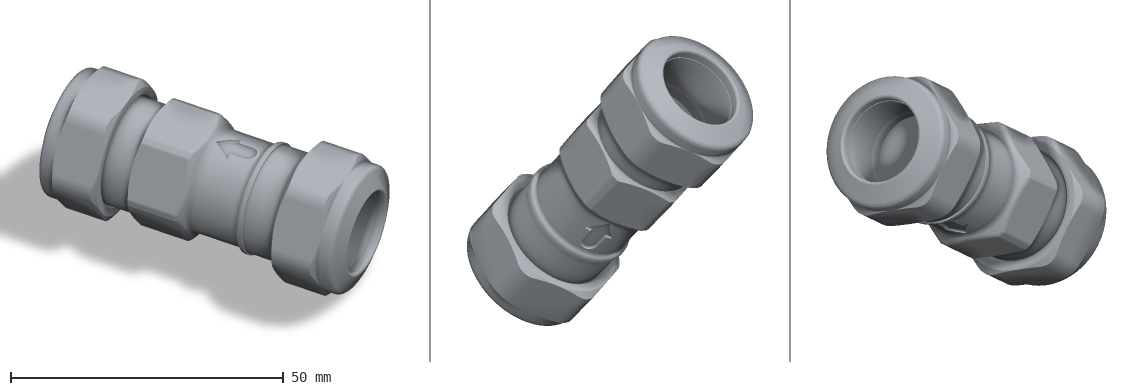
import cadquery as cq
import math

LENGTH = 62.4
MIDDLE = LENGTH / 2
SLAB_MARGIN = 0.05

NUT_FLATS = 25.0
NUT_CORNER_ROUND = 4.0
NUT_LENGTH = 13.4
COLLAR_LENGTH = 4.05
COLLAR_RADIUS = NUT_FLATS / 2
COLLAR_ROUND = 1.0
NOSE_RADIUS = 8.5
NOSE_ANGLE = 20.0
NUT_CHAMFER_ANGLE = 30.0
LIP_RADIUS = 7.9
LIP_ROUND = 0.5
LIP_LENGTH = 1.95
MOUTH_RADIUS = 11.0
MOUTH_DEPTH = 0.5

TAIL_RADIUS = 10.5
NECK_RADIUS = 10.05
RIB_RADIUS = 10.85
RIB_START = 40.1
RIB_TOP = 41.6
RIB_END = 42.2
HEX_FLATS = 22.1
HEX_CORNER_RADIUS = 12.35
HEX_CORNER_ROUND = 1.0
HEX_START = 18.7
HEX_END = 30.8
HEX_FRONT_ANGLE = 27.0
HEX_FRONT_RADIUS = 10.75
HEX_BACK_ROUND = 1.0
HEX_BACK_ANGLE = 33.0
SOCKET_RADIUS = 7.8
SOCKET_DEPTH = 8.05
STOP_RADIUS = 7.7
STOP_CONE = 0.55
STOP_LENGTH = 1.9

ARROW_TIP = 31.45
HEAD_END = 35.25
HEAD_HALF_WIDTH = 2.95
SHAFT_HALF_WIDTH = 1.6
ARROW_END = 39.75
ARROW_DEPTH = 0.5
ARROW_FLOOR_ROUND = 0.4


def revolve(points):
    """Solid of revolution about the X axis from (x, radius) points."""
    return cq.Workplane("XY").polyline(points).close().revolve(360, (0, 0, 0), (1, 0, 0))


def hexagon(flats, start, end):
    """Hexagonal bar along X with a flat on top and bottom."""
    corner_diameter = flats / math.cos(math.pi / 6)
    return cq.Workplane("YZ").workplane(offset=start).polygon(6, corner_diameter).extrude(end - start)


def rise(radial_height, angle):
    """Axial length over which a cone, sloped from the end plane, gains a radius."""
    return radial_height * math.tan(math.radians(angle))


def slab(start, end):
    """Selector for the edges centred between two positions along X."""
    return cq.selectors.BoxSelector(
        (start - SLAB_MARGIN, -LENGTH, -LENGTH), (end + SLAB_MARGIN, LENGTH, LENGTH))


def mirrored(shape):
    """Copy of a shape at the fitting's other end."""
    return shape.mirror("YZ", (MIDDLE, 0, 0))


def make_nut():
    """Left-hand nut, with its nose on the YZ plane."""
    corner_reach = NUT_FLATS / 2 / math.cos(math.pi / 6)
    chamfer = rise(corner_reach - COLLAR_RADIUS, NUT_CHAMFER_ANGLE)
    bar = hexagon(NUT_FLATS, COLLAR_LENGTH, NUT_LENGTH).edges("|X").fillet(NUT_CORNER_ROUND)
    envelope = revolve([
        (COLLAR_LENGTH, 0),
        (COLLAR_LENGTH, COLLAR_RADIUS),
        (COLLAR_LENGTH + chamfer, corner_reach),
        (NUT_LENGTH - chamfer, corner_reach),
        (NUT_LENGTH, COLLAR_RADIUS),
        (NUT_LENGTH, 0),
    ])
    nose_length = rise(COLLAR_RADIUS - NOSE_RADIUS, NOSE_ANGLE)
    collar = revolve([
        (0, 0),
        (0, NOSE_RADIUS),
        (nose_length, COLLAR_RADIUS),
        (COLLAR_LENGTH, COLLAR_RADIUS),
        (COLLAR_LENGTH, 0),
    ])
    collar = collar.edges("%CIRCLE").edges(slab(nose_length, nose_length)).fillet(COLLAR_ROUND)
    lip = cq.Workplane("YZ").circle(LIP_RADIUS).extrude(NUT_LENGTH)
    tail_pocket = revolve([
        (LIP_LENGTH, 0),
        (LIP_LENGTH, TAIL_RADIUS),
        (NUT_LENGTH - MOUTH_DEPTH, TAIL_RADIUS),
        (NUT_LENGTH, MOUTH_RADIUS),
        (NUT_LENGTH, 0),
    ])
    solid = bar.intersect(envelope).union(collar).cut(lip)
    lip_rim = cq.selectors.RadiusNthSelector(0)
    solid = solid.faces("<X").edges("%CIRCLE").edges(lip_rim).fillet(LIP_ROUND)
    return solid.cut(tail_pocket)


def make_hex_grip():
    """Hexagonal grip of the body with cut corners and a cone at each end."""
    apothem = HEX_FLATS / 2
    corner_height = apothem / math.cos(math.pi / 6) - HEX_CORNER_RADIUS
    corner_cut = corner_height / math.cos(math.pi / 3)
    bar = hexagon(HEX_FLATS, HEX_START, HEX_END).edges("|X").chamfer(corner_cut)
    bar = bar.edges("|X").fillet(HEX_CORNER_ROUND)
    front = rise(HEX_CORNER_RADIUS - HEX_FRONT_RADIUS, HEX_FRONT_ANGLE)
    back = rise(HEX_CORNER_RADIUS - NECK_RADIUS, HEX_BACK_ANGLE)
    envelope = revolve([
        (HEX_START, 0),
        (HEX_START, HEX_FRONT_RADIUS),
        (HEX_START + front, HEX_CORNER_RADIUS),
        (HEX_END - back, HEX_CORNER_RADIUS),
        (HEX_END, NECK_RADIUS),
        (HEX_END, 0),
    ])
    grip = bar.intersect(envelope)
    back_rim = slab(HEX_END - back, HEX_END - 2 * SLAB_MARGIN)
    return grip.edges("not |X").edges(back_rim).fillet(HEX_BACK_ROUND)


def make_arrow_recess():
    """Cutter for the flow arrows on the top and bottom of the neck."""
    outline = (
        cq.Workplane("XY")
        .moveTo(ARROW_TIP, 0)
        .lineTo(HEAD_END, HEAD_HALF_WIDTH)
        .lineTo(HEAD_END, SHAFT_HALF_WIDTH)
        .lineTo(ARROW_END - SHAFT_HALF_WIDTH, SHAFT_HALF_WIDTH)
        .threePointArc((ARROW_END, 0), (ARROW_END - SHAFT_HALF_WIDTH, -SHAFT_HALF_WIDTH))
        .lineTo(HEAD_END, -SHAFT_HALF_WIDTH)
        .lineTo(HEAD_END, -HEAD_HALF_WIDTH)
        .close()
        .extrude(RIB_RADIUS, both=True)
    )
    core = cq.Workplane("YZ").circle(NECK_RADIUS - ARROW_DEPTH).extrude(LENGTH)
    floor_rim = cq.selectors.BoxSelector(
        (0, -LENGTH, -NECK_RADIUS), (LENGTH, LENGTH, NECK_RADIUS))
    return outline.cut(core).edges("not |Z").edges(floor_rim).fillet(ARROW_FLOOR_ROUND)


def make_body():
    """Valve body: two tails, hexagonal grip, neck and rib, with a blind socket at each end."""
    start = LIP_LENGTH
    end = LENGTH - LIP_LENGTH
    flare_middle = ((RIB_START + RIB_TOP) / 2, (NECK_RADIUS + RIB_RADIUS) / 2)
    shaft = (
        cq.Workplane("XY")
        .moveTo(start, 0)
        .lineTo(start, TAIL_RADIUS)
        .lineTo(HEX_START, TAIL_RADIUS)
        .lineTo(HEX_START, NECK_RADIUS)
        .lineTo(RIB_START, NECK_RADIUS)
        .tangentArcPoint(flare_middle, relative=False)
        .tangentArcPoint((RIB_TOP, RIB_RADIUS), relative=False)
        .lineTo(RIB_END, RIB_RADIUS)
        .lineTo(RIB_END, TAIL_RADIUS)
        .lineTo(end, TAIL_RADIUS)
        .lineTo(end, 0)
        .close()
        .revolve(360, (0, 0, 0), (1, 0, 0))
    )
    solid = shaft.union(make_hex_grip())
    solid = solid.edges("%CIRCLE").edges(slab(HEX_END, HEX_END)).fillet(HEX_BACK_ROUND)
    solid = solid.cut(make_arrow_recess())
    stop = start + SOCKET_DEPTH
    socket = revolve([
        (start, 0),
        (start, SOCKET_RADIUS),
        (stop, SOCKET_RADIUS),
        (stop + STOP_CONE, STOP_RADIUS),
        (stop + STOP_CONE + STOP_LENGTH, STOP_RADIUS),
        (stop + STOP_CONE + STOP_LENGTH, 0),
    ])
    return solid.cut(socket).cut(mirrored(socket))


body = make_body()
left_nut = make_nut()
nuts = [left_nut, mirrored(left_nut)]

result = cq.Compound.makeCompound([body.val(), *[nut.val() for nut in nuts]])